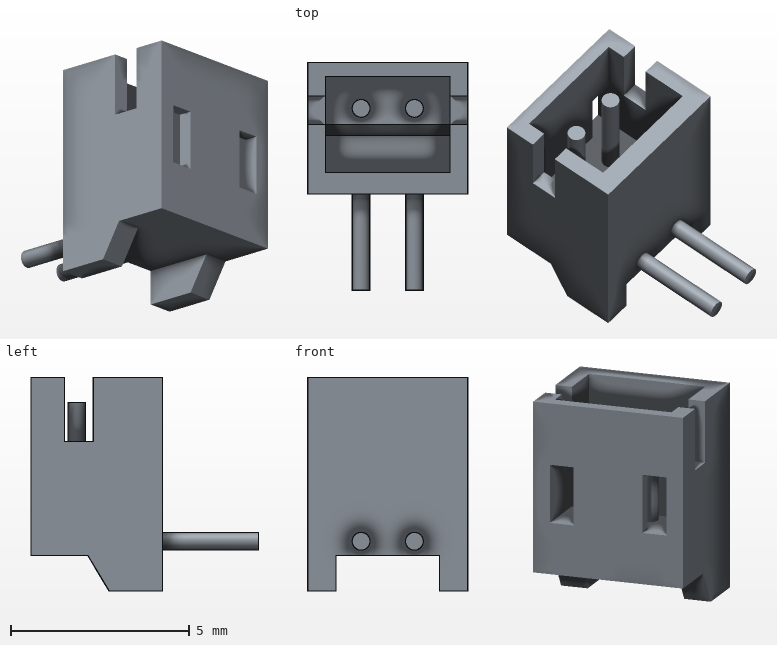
import cadquery as cq


width = 4.5
overall_depth = 6.4
pin_reach = 2.7
depth = overall_depth - pin_reach
height = 6.0

leg_width = 0.8
leg_height = 1.0
leg_depth_top = 2.1
leg_depth_bottom = 1.5

side_wall = 0.5
front_wall = 0.6
back_wall = 0.4
rear_floor_z = 2.5
front_floor_z = 1.9
floor_slope_front_y = 1.65
floor_slope_run = 0.3
floor_slope_back_y = floor_slope_front_y + floor_slope_run

slot_width = 0.8
slot_depth = 1.8
slot_front_y = floor_slope_back_y

window_width = 0.72
window_top_z = height - slot_depth

pin_diameter = 0.5
pin_pitch = 1.5
pin_count = 2
pin_axis_from_back = 1.29
pin_tip_recess = 0.7
pin_y = depth - pin_axis_from_back
pin_z = 1.4
pin_top_z = height - pin_tip_recess

cavity_width = width - 2 * side_wall
cavity_back_y = depth - back_wall


def side_profile(points, profile_width):
    """Extrude a (Y, Z) outline along X, centred on X = 0."""
    return cq.Workplane("YZ").polyline(points).close().extrude(profile_width / 2, both=True)


def box_between(x_range, y_range, z_range):
    """Box spanning the given (low, high) limits along each axis."""
    size = [high - low for low, high in (x_range, y_range, z_range)]
    corner = cq.Vector(x_range[0], y_range[0], z_range[0])
    return cq.Workplane("XY").box(*size, centered=False).translate(corner)


def make_pin(x):
    """L-shaped round pin: upright part, ball at the bend, forward part."""
    radius = pin_diameter / 2
    bend = cq.Vector(x, pin_y, pin_z)
    upright = cq.Solid.makeCylinder(radius, pin_top_z - pin_z, bend, cq.Vector(0, 0, 1))
    forward = cq.Solid.makeCylinder(radius, pin_y + pin_reach, bend, cq.Vector(0, -1, 0))
    ball = cq.Workplane("XY").sphere(radius).translate(bend)
    return ball.union(cq.Workplane(upright)).union(cq.Workplane(forward))


def make_body():
    """Block whose rear underside slopes up behind the legs."""
    outline = [
        (0, 0),
        (leg_depth_bottom, 0),
        (leg_depth_top, leg_height),
        (depth, leg_height),
        (depth, height),
        (0, height),
    ]
    return side_profile(outline, width)


def make_leg_gap():
    """Opening that separates the two legs."""
    half_gap = width / 2 - leg_width
    return box_between((-half_gap, half_gap), (0, depth), (0, leg_height))


def make_cavity():
    """Open-topped cavity with a sloped step between its two floor levels."""
    outline = [
        (front_wall, front_floor_z),
        (floor_slope_front_y, front_floor_z),
        (floor_slope_back_y, rear_floor_z),
        (cavity_back_y, rear_floor_z),
        (cavity_back_y, height),
        (front_wall, height),
    ]
    return side_profile(outline, cavity_width)


def make_side_slots():
    """One cut across the full width that opens a slot in each side wall."""
    return box_between(
        (-width / 2, width / 2),
        (slot_front_y, slot_front_y + slot_width),
        (height - slot_depth, height),
    )


def make_back_window():
    """Window through the back wall, flush with the +X cavity side."""
    outer_x = cavity_width / 2
    return box_between(
        (outer_x - window_width, outer_x),
        (cavity_back_y, depth),
        (rear_floor_z, window_top_z),
    )


pins = [make_pin((i - (pin_count - 1) / 2) * pin_pitch) for i in range(pin_count)]

window = make_back_window()
housing = make_body().cut(make_leg_gap()).cut(make_cavity()).cut(make_side_slots())
housing = housing.cut(window).cut(window.mirror("YZ"))
for pin in pins:
    housing = housing.cut(pin)

result = cq.Compound.makeCompound([housing.solids().val(), *[pin.solids().val() for pin in pins]])